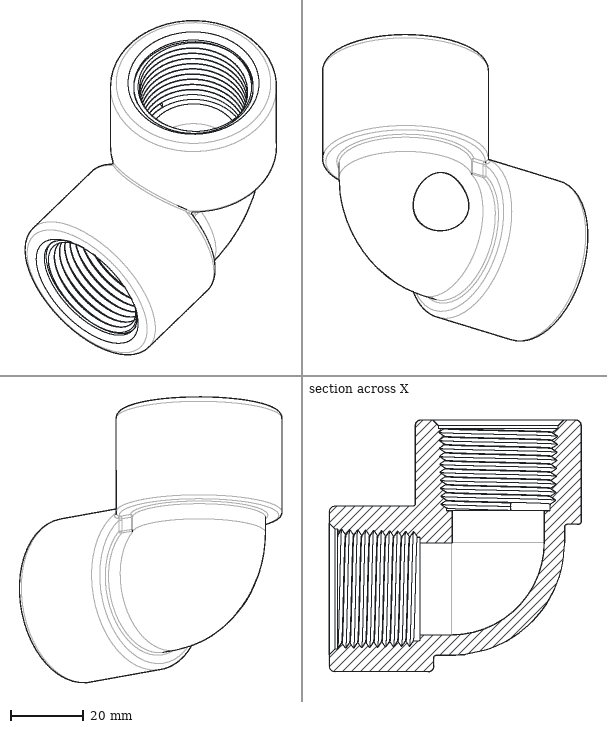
import cadquery as cq
import math

overall = 69.7
socket_diameter = 45.95
socket_length = 28.9
body_diameter = 36.8
bend_radius = 12.9

mouth_fillet = 1.6
upper_back_fillet = 0.9
front_back_fillet = 1.6
crotch_fillet = 0.5
root_fillet = 0.6

web_width = 25.4
web_fillet = 0.85

pad_diameter = 15.9
pad_height = 0.15

passage_diameter = 25.4
entry_diameter = 33.05
entry_chamfer = 1.6
entry_depth = 2.4
thread_depth = 25.1
thread_start = 1.25
thread_pitch = 2.21
thread_height = 1.6
thread_taper = 1 / 32
groove_share = 0.98
overlap = 0.7
crest_clearance = 0.15

socket_radius = socket_diameter / 2
body_radius = body_diameter / 2
passage_radius = passage_diameter / 2
entry_radius = entry_diameter / 2
mouth = overall - socket_radius
socket_back = mouth - socket_length
thread_length = thread_depth - thread_start - thread_pitch / 2


def onto_front_arm(upper_arm):
    """Turn a shape made around the +Z arm by half a turn so that it lies around the -Y arm."""
    return upper_arm.rotate((0, 0, 0), (0, -1, 1), 180)


def on_both_arms(upper_arm):
    return upper_arm.union(onto_front_arm(upper_arm))


def arm_cylinder(radius, start, end):
    return cq.Workplane("XY").workplane(offset=start).circle(radius).extrude(end - start)


def turn(section):
    """Sweep a section drawn at the end of the +Z arm round to the -Y arm."""
    return section.revolve(90, (0, -bend_radius), (-1, -bend_radius))


def turn_plane():
    return cq.Workplane("XY").workplane(offset=bend_radius)


def body_turn(radius):
    """Outer bend; its round section is cut off at the bend axis, which it would cross."""
    half_width = math.sqrt(radius**2 - bend_radius**2)
    section = (
        turn_plane()
        .moveTo(-half_width, -bend_radius)
        .threePointArc((0, radius), (half_width, -bend_radius))
        .close()
    )
    return turn(section)


def body():
    arms = on_both_arms(arm_cylinder(body_radius, bend_radius, socket_back + overlap))
    web_size = socket_back + overlap
    web = (
        cq.Workplane("XY")
        .box(web_width, web_size, web_size, centered=(True, False, False))
        .translate((0, -web_size, 0))
    )
    joined = body_turn(body_radius).union(arms).union(web)
    inner_edges = joined.edges("|Z").edges(">Y").add(joined.edges("|Y").edges("<Z"))
    return inner_edges.fillet(web_fillet)


def socket(back_fillet):
    blank = arm_cylinder(socket_radius, socket_back, mouth)
    return blank.faces(">Z").edges().fillet(mouth_fillet).faces("<Z").edges().fillet(back_fillet)


def is_root_edge(edge):
    """True for the circles where the body meets the back faces of the sockets."""
    tolerance = 0.001
    on_body = abs(edge.radius() - body_radius) < tolerance
    at_socket = abs(edge.arcCenter().Length - socket_back) < tolerance
    return on_body and at_socket


def outer_shape():
    sockets = socket(upper_back_fillet).union(onto_front_arm(socket(front_back_fillet)))
    joined = sockets.edges("%ELLIPSE").fillet(crotch_fillet).union(body())
    root_edges = [edge for edge in joined.edges("%CIRCLE").vals() if is_root_edge(edge)]
    return joined.newObject(root_edges).fillet(root_fillet)


def pad():
    column = cq.Workplane("YZ").circle(pad_diameter / 2).extrude(-socket_radius)
    return body_turn(body_radius + pad_height).intersect(column)


def passage():
    """Plain bore along both arms and round the bend."""
    arms = on_both_arms(arm_cylinder(passage_radius, bend_radius, mouth))
    return arms.union(turn(turn_plane().circle(passage_radius)))


def entry_bore():
    """Chamfered entry and the tapered bore that leaves the thread crests."""
    crest_radius = entry_radius - thread_height + crest_clearance
    crest_end_radius = crest_radius - thread_depth * thread_taper
    profile = [
        (0, mouth),
        (entry_radius + entry_chamfer, mouth),
        (entry_radius, mouth - entry_chamfer),
        (entry_radius, mouth - entry_depth),
        (crest_radius - entry_depth * thread_taper, mouth - entry_depth),
        (crest_end_radius, mouth - thread_depth),
        (0, mouth - thread_depth),
    ]
    return cq.Workplane("XZ").polyline(profile).close().revolve(360, (0, 0), (0, 1))


def thread_groove():
    """Right-handed V groove winding down from the socket mouth, starting on the -Y side."""
    taper_angle = math.degrees(math.atan(thread_taper))
    helix = cq.Wire.makeHelix(thread_pitch, thread_length, entry_radius, angle=-taper_angle)
    half_width = groove_share * thread_pitch / 2
    groove = (
        cq.Workplane("XZ")
        .moveTo(entry_radius, 0)
        .lineTo(entry_radius - thread_height, half_width)
        .lineTo(entry_radius - thread_height, -half_width)
        .close()
        .sweep(cq.Workplane(helix), isFrenet=True)
    )
    pointing_down = groove.rotate((0, 0, 0), (1, 0, 0), 180).rotate((0, 0, 0), (0, 0, 1), -90)
    return pointing_down.translate((0, 0, mouth - thread_start))


result = outer_shape().union(pad()).cut(passage())
for threading_tool in (entry_bore(), thread_groove()):
    result = result.cut(threading_tool).cut(onto_front_arm(threading_tool))